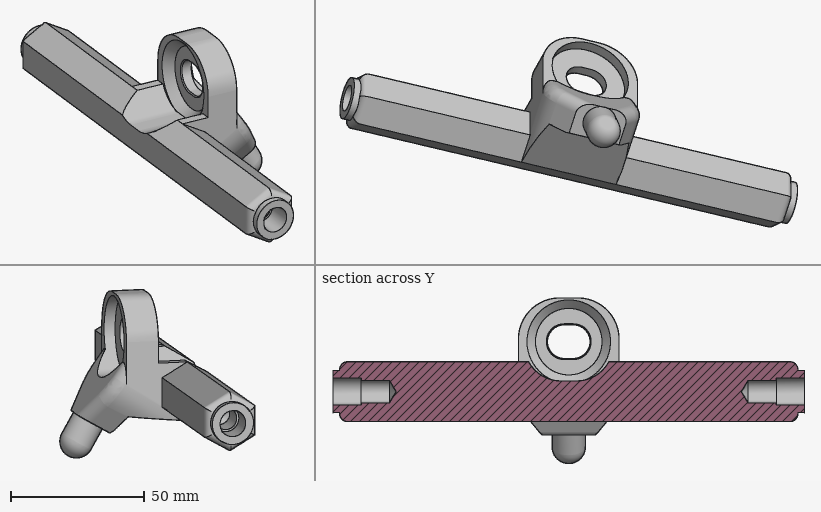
import cadquery as cq
import math

TOTAL_LENGTH = 177.0
HEX_FLATS = 19.5
HEX_CORNERS = HEX_FLATS / math.cos(math.radians(30))
CORNER_Z = HEX_CORNERS / 2
END_ROUND = 2.8
COLLAR_DIAMETER = 16.0
COLLAR_LENGTH = 2.5
BAR_LENGTH = TOTAL_LENGTH - 2 * COLLAR_LENGTH

BORE_DIAMETER = 8.3
BORE_MOUTH_DIAMETER = 10.0
BORE_DEPTH = 21.2
BORE_MOUTH_DEPTH = 10.6
DRILL_POINT_ANGLE = 118.0

LUG_WIDTH = 37.9
LUG_TOP_Z = 35.2
LUG_CORNER_RADIUS = 15.5
LUG_FRONT_Y = 11.2
LUG_THICKNESS = 12.4
LUG_BACK_Y = LUG_FRONT_Y + LUG_THICKNESS

SLOT_Z = 18.8
SLOT_LENGTH = 16.0
SLOT_WIDTH = 12.5
SLOT_BEVEL = 0.45
BEVEL_ANGLE = 45.0
RECESS_MOUTH_DIAMETER = 31.3
RECESS_FLOOR_DIAMETER = 25.0
RECESS_DEPTH = 3.7
SPOTFACE_DIAMETER = 30.5
SPOTFACE_DEPTH = 4.2
WEB_FRONT_Y = LUG_FRONT_Y + RECESS_DEPTH
WEB_BACK_Y = LUG_BACK_Y - SPOTFACE_DEPTH
TROUGH_FLOOR_Z = 4.0
TROUGH_FLOOR_WIDTH = 5.8
TROUGH_RADIUS = 13.8

TONGUE_ANGLE = 60.0
TONGUE_ROUND_START = 8.8
TONGUE_END = 28.0
TONGUE_RADIUS = LUG_WIDTH / 2
TONGUE_TAPER = 34.0
TONGUE_UNDERSIDE = 14.5
UNDERSIDE_START = 19.1
UNDERSIDE_BEVEL_LENGTH = 1.5
UNDERSIDE_BEVEL_RISE = 0.5
TONGUE_BACK = 28.9
TONGUE_DRAFT = 6.0
BACK_EDGE_ROUND = 4.5

PIN_DIAMETER = 12.5
PIN_ACROSS = 22.7
PIN_NOSE_CENTRE = 37.0

SLOPE_COS = math.cos(math.radians(TONGUE_ANGLE))
SLOPE_SIN = math.sin(math.radians(TONGUE_ANGLE))


def tongue_point(along, across):
    """(y, z) of a point given along the tongue slope and square to it."""
    return (along * SLOPE_COS + across * SLOPE_SIN, across * SLOPE_COS - along * SLOPE_SIN)


def tongue_plane(along, across, normal_is_along):
    """Workplane on the tongue axes, facing down the slope or square to it; local x is X."""
    y, z = tongue_point(along, across)
    if normal_is_along:
        normal = (0, SLOPE_COS, -SLOPE_SIN)
    else:
        normal = (0, SLOPE_SIN, SLOPE_COS)
    return cq.Workplane(cq.Plane(origin=(0, y, z), xDir=(1, 0, 0), normal=normal))


def upright_plane(y):
    """Workplane facing +Y at depth y, with local x along -X and local y along +Z."""
    return cq.Workplane(cq.Plane(origin=(0, y, 0), xDir=(-1, 0, 0), normal=(0, 1, 0)))


def make_bar():
    hexagon = cq.Workplane("YZ").polygon(6, HEX_CORNERS).extrude(BAR_LENGTH / 2, both=True)
    hexagon = hexagon.rotate((0, 0, 0), (1, 0, 0), 90)
    hexagon = hexagon.faces("<X or >X").edges().fillet(END_ROUND)
    collars = cq.Workplane("YZ").circle(COLLAR_DIAMETER / 2).extrude(TOTAL_LENGTH / 2, both=True)
    return hexagon.union(collars)


def make_end_bore():
    """Bore entering the -X end, with a wider mouth and a drill point."""
    radius = BORE_DIAMETER / 2
    mouth_radius = BORE_MOUTH_DIAMETER / 2
    point_length = radius / math.tan(math.radians(DRILL_POINT_ANGLE / 2))
    mouth_x = -TOTAL_LENGTH / 2
    half_section = [
        (mouth_x, 0),
        (mouth_x, mouth_radius),
        (mouth_x + BORE_MOUTH_DEPTH, mouth_radius),
        (mouth_x + BORE_MOUTH_DEPTH, radius),
        (mouth_x + BORE_DEPTH, radius),
        (mouth_x + BORE_DEPTH + point_length, 0),
    ]
    return cq.Workplane("XY").polyline(half_section).close().revolve(360, (0, 0), (1, 0))


def make_lug():
    half_width = LUG_WIDTH / 2
    shoulder_z = LUG_TOP_Z - LUG_CORNER_RADIUS
    base_z = (LUG_BACK_Y * SLOPE_COS - TONGUE_ROUND_START) / SLOPE_SIN
    flat_end = half_width - LUG_CORNER_RADIUS
    return (
        upright_plane(LUG_FRONT_Y)
        .moveTo(-half_width, base_z)
        .lineTo(half_width, base_z)
        .lineTo(half_width, shoulder_z)
        .radiusArc((flat_end, LUG_TOP_Z), -LUG_CORNER_RADIUS)
        .lineTo(-flat_end, LUG_TOP_Z)
        .radiusArc((-half_width, shoulder_z), -LUG_CORNER_RADIUS)
        .close()
        .extrude(LUG_THICKNESS)
    )


def make_tongue():
    """Side profile common with the rounded, tapered outline seen square to the slope."""
    draft = math.tan(math.radians(TONGUE_DRAFT))
    back_at_zero = TONGUE_BACK - TONGUE_END * draft
    top_along = (back_at_zero * SLOPE_COS - CORNER_Z) / (SLOPE_SIN - draft * SLOPE_COS)
    bevel_along = TONGUE_END - UNDERSIDE_BEVEL_LENGTH
    bevel_across = TONGUE_UNDERSIDE + (bevel_along - UNDERSIDE_START) * draft
    profile = [
        (0, CORNER_Z),
        tongue_point(top_along, back_at_zero + top_along * draft),
        tongue_point(TONGUE_END, TONGUE_BACK),
        tongue_point(TONGUE_END, bevel_across + UNDERSIDE_BEVEL_RISE),
        tongue_point(bevel_along, bevel_across),
        tongue_point(UNDERSIDE_START, TONGUE_UNDERSIDE),
        (0, -CORNER_Z),
    ]
    half_width = LUG_WIDTH / 2
    body = cq.Workplane("YZ").polyline(profile).close().extrude(half_width, both=True)

    taper = math.radians(TONGUE_TAPER)
    arc_end = TONGUE_ROUND_START + TONGUE_RADIUS * math.sin(taper)
    arc_end_x = TONGUE_RADIUS * math.cos(taper)
    end_x = arc_end_x - (TONGUE_END - arc_end) * math.tan(taper)
    reach = 2 * TONGUE_BACK
    outline = (
        tongue_plane(0, -reach, normal_is_along=False)
        .moveTo(-half_width, -reach)
        .lineTo(-half_width, TONGUE_ROUND_START)
        .radiusArc((-arc_end_x, arc_end), TONGUE_RADIUS)
        .lineTo(-end_x, TONGUE_END)
        .lineTo(end_x, TONGUE_END)
        .lineTo(arc_end_x, arc_end)
        .radiusArc((half_width, TONGUE_ROUND_START), TONGUE_RADIUS)
        .lineTo(half_width, -reach)
        .close()
        .extrude(2 * reach)
    )
    tongue = body.intersect(outline)

    back_angle = math.radians(TONGUE_ANGLE - TONGUE_DRAFT)
    back_normal = cq.Vector(0, math.sin(back_angle), math.cos(back_angle))
    back_face = tongue.faces(cq.selectors.DirectionMinMaxSelector(back_normal))
    return back_face.edges("not(|X)").fillet(BACK_EDGE_ROUND)


def make_pin():
    radius = PIN_DIAMETER / 2
    length = PIN_NOSE_CENTRE - TONGUE_END
    shank = tongue_plane(TONGUE_END, PIN_ACROSS, normal_is_along=True).circle(radius).extrude(length)
    nose = cq.Workplane("XY").sphere(radius).translate((0, *tongue_point(PIN_NOSE_CENTRE, PIN_ACROSS)))
    return shank.union(nose)


def make_spotface():
    """Round recess in the back of the lug that carries on through the root of the tongue."""
    return upright_plane(WEB_BACK_Y).center(0, SLOT_Z).circle(SPOTFACE_DIAMETER / 2).extrude(LUG_WIDTH)


def make_trough():
    """Round-sided channel in front of the lug, open at the top."""
    flat_end = TROUGH_FLOOR_WIDTH / 2
    side_x = flat_end + TROUGH_RADIUS
    side_z = TROUGH_FLOOR_Z + TROUGH_RADIUS
    return (
        upright_plane(-HEX_FLATS)
        .moveTo(-flat_end, TROUGH_FLOOR_Z)
        .lineTo(flat_end, TROUGH_FLOOR_Z)
        .radiusArc((side_x, side_z), -TROUGH_RADIUS)
        .lineTo(-side_x, side_z)
        .radiusArc((-flat_end, TROUGH_FLOOR_Z), -TROUGH_RADIUS)
        .close()
        .extrude(HEX_FLATS + LUG_FRONT_Y)
    )


def make_recess():
    """Conical recess in the front of the lug."""
    return (
        upright_plane(LUG_FRONT_Y)
        .center(0, SLOT_Z)
        .circle(RECESS_MOUTH_DIAMETER / 2)
        .workplane(offset=RECESS_DEPTH)
        .circle(RECESS_FLOOR_DIAMETER / 2)
        .loft()
    )


def make_slot():
    """Round-ended slot through the web between the two recesses, bevelled at its front mouth."""
    mouth = upright_plane(WEB_FRONT_Y).center(0, SLOT_Z)
    through = mouth.slot2D(SLOT_LENGTH, SLOT_WIDTH).extrude(WEB_BACK_Y - WEB_FRONT_Y)
    bevel = mouth.slot2D(SLOT_LENGTH + 2 * SLOT_BEVEL, SLOT_WIDTH + 2 * SLOT_BEVEL)
    return through.union(bevel.extrude(SLOT_BEVEL, taper=BEVEL_ANGLE))


end_bore = make_end_bore()
result = (
    make_bar()
    .union(make_tongue())
    .union(make_lug())
    .cut(make_spotface())
    .union(make_pin())
    .cut(make_trough())
    .cut(make_recess())
    .cut(make_slot())
    .cut(end_bore)
    .cut(end_bore.mirror("YZ"))
)